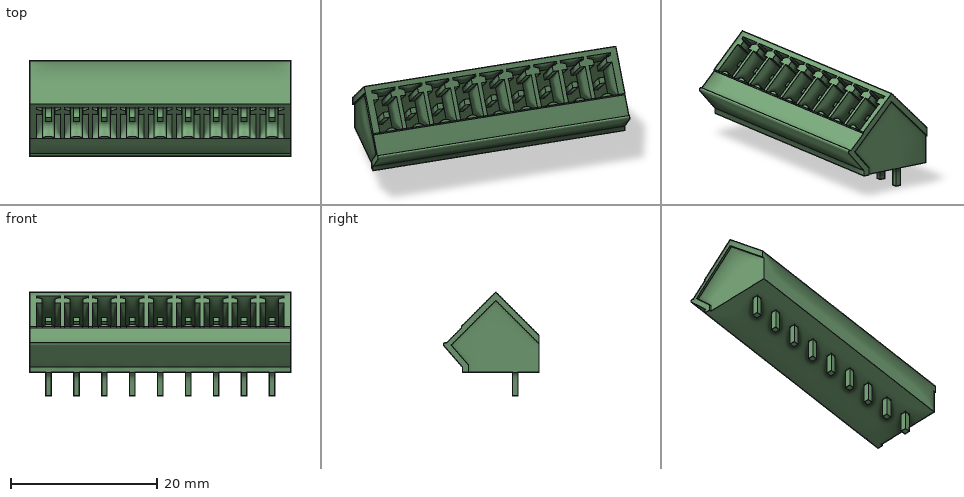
import cadquery as cq
import math


LENGTH = 35.68
DEPTH = 13.1
RIDGE_HEIGHT = 11.0
RIDGE_SETBACK = 5.92
RIM_LENGTH = 6.65
STEP_DROP = 0.2
LIP_HEIGHT = 4.05
LIP_RADIUS = 0.25
UNDERCUT_ANGLE = 49.0
TOE_HEIGHT = 0.75

BORDER_WIDTH = 0.82
PANEL_RECESS = 0.3

POSITIONS = 9
PITCH = 3.8
POCKET_WIDTH = 3.25
POCKET_DEPTH = 6.42
NECK_WIDTH = 1.82
SLOT_TOP = 0.75
SLOT_SIDE_END = 1.05
SHOULDER_TOP = 1.32
SHOULDER_BOTTOM = 2.07
RIB_WIDTH = 1.65
RIB_HEIGHT = 0.4

PIN_SIZE = 0.8
PIN_SETBACK = 3.3
PIN_PROTRUSION = 3.2
PIN_TIP_DEPTH = 1.15
PIN_DOWNHILL = 4.17

SQRT2 = math.sqrt(2)
back_height = RIDGE_HEIGHT - RIDGE_SETBACK
undercut = math.radians(UNDERCUT_ANGLE)
pin_xs = [(i - (POSITIONS - 1) / 2) * PITCH for i in range(POSITIONS)]

lip_y = -(DEPTH - LIP_RADIUS)
lip_z = LIP_HEIGHT - LIP_RADIUS
lip_end_y = lip_y - LIP_RADIUS * math.sin(undercut)
lip_end_z = lip_z - LIP_RADIUS * math.cos(undercut)
toe_y = lip_end_y + (lip_end_z - TOE_HEIGHT) / math.tan(undercut)

slope = cq.Plane(origin=(0, -RIDGE_SETBACK, RIDGE_HEIGHT), xDir=(1, 0, 0), normal=(0, -1, 1))


def make_body():
    """Solid housing with its full cross-section along the whole length."""
    step_y = -RIDGE_SETBACK - RIM_LENGTH / SQRT2
    step_z = RIDGE_HEIGHT - RIM_LENGTH / SQRT2
    center_gap = ((step_z - STEP_DROP - step_y) - (lip_z - lip_y)) / SQRT2
    half_chord = math.sqrt(LIP_RADIUS**2 - center_gap**2)
    lip_start_y = lip_y + (half_chord - center_gap) / SQRT2
    lip_start_z = lip_z + (half_chord + center_gap) / SQRT2
    return (
        cq.Workplane("YZ", origin=(-LENGTH / 2, 0, 0))
        .moveTo(0, 0)
        .lineTo(0, back_height)
        .lineTo(-RIDGE_SETBACK, RIDGE_HEIGHT)
        .lineTo(step_y, step_z)
        .lineTo(step_y, step_z - STEP_DROP)
        .lineTo(lip_start_y, lip_start_z)
        .threePointArc((-DEPTH, lip_z), (lip_end_y, lip_end_z))
        .lineTo(toe_y, TOE_HEIGHT)
        .lineTo(toe_y, 0)
        .close()
        .extrude(LENGTH)
    )


def make_end_panels():
    """Recesses in both end faces, one border width inside the outline, open at back and bottom."""
    slope_sum = RIDGE_HEIGHT + RIDGE_SETBACK
    nose_z = (slope_sum + toe_y + TOE_HEIGHT / math.tan(undercut)) / (1 + 1 / math.tan(undercut))
    nose_y = nose_z - slope_sum
    outline = [
        (BORDER_WIDTH, -BORDER_WIDTH),
        (BORDER_WIDTH, back_height - BORDER_WIDTH),
        (-RIDGE_SETBACK, RIDGE_HEIGHT),
        (nose_y, nose_z),
        (toe_y, TOE_HEIGHT),
        (toe_y, -BORDER_WIDTH),
    ]
    panel = (
        cq.Workplane("YZ", origin=(-LENGTH / 2, 0, 0))
        .polyline(outline)
        .close()
        .offset2D(-BORDER_WIDTH, "intersection")
        .extrude(PANEL_RECESS)
    )
    return panel.union(panel.mirror("YZ"))


def make_pocket_cutter(x):
    """Pocket space with a shouldered keyway at the top and a rounded rib on its lower wall."""
    half_pocket = POCKET_WIDTH / 2
    half_neck = NECK_WIDTH / 2
    half_rib = RIB_WIDTH / 2
    return (
        cq.Workplane(slope)
        .center(x, 0)
        .moveTo(-half_pocket, -SLOT_TOP)
        .lineTo(half_pocket, -SLOT_TOP)
        .lineTo(half_pocket, -SLOT_SIDE_END)
        .lineTo(half_neck, -SHOULDER_TOP)
        .lineTo(half_neck, -SHOULDER_BOTTOM)
        .lineTo(half_pocket, -SHOULDER_BOTTOM)
        .lineTo(half_pocket, -RIM_LENGTH)
        .lineTo(half_rib, -RIM_LENGTH)
        .threePointArc((0, RIB_HEIGHT - RIM_LENGTH), (-half_rib, -RIM_LENGTH))
        .lineTo(-half_pocket, -RIM_LENGTH)
        .lineTo(-half_pocket, -SHOULDER_BOTTOM)
        .lineTo(-half_neck, -SHOULDER_BOTTOM)
        .lineTo(-half_neck, -SHOULDER_TOP)
        .lineTo(-half_pocket, -SLOT_SIDE_END)
        .close()
        .extrude(-POCKET_DEPTH)
    )


def make_pin(x):
    """Square pin: a vertical leg, then a 45 degree arm square to the slope."""
    tip = slope.toWorldCoords((0, -PIN_DOWNHILL, -PIN_TIP_DEPTH))
    bend_z = tip.z - (-PIN_SETBACK - tip.y)
    path = cq.Workplane("YZ", origin=(x, 0, 0)).polyline(
        [(-PIN_SETBACK, -PIN_PROTRUSION), (-PIN_SETBACK, bend_z), (tip.y, tip.z)]
    )
    return (
        cq.Workplane("XY", origin=(x, -PIN_SETBACK, -PIN_PROTRUSION))
        .rect(PIN_SIZE, PIN_SIZE)
        .sweep(path, transition="right")
    )


pins = [make_pin(x) for x in pin_xs]

housing = make_body().cut(make_end_panels())
for x in pin_xs:
    housing = housing.cut(make_pocket_cutter(x))
for pin in pins:
    housing = housing.cut(pin)

result = cq.Compound.makeCompound([housing.val(), *[pin.val() for pin in pins]])